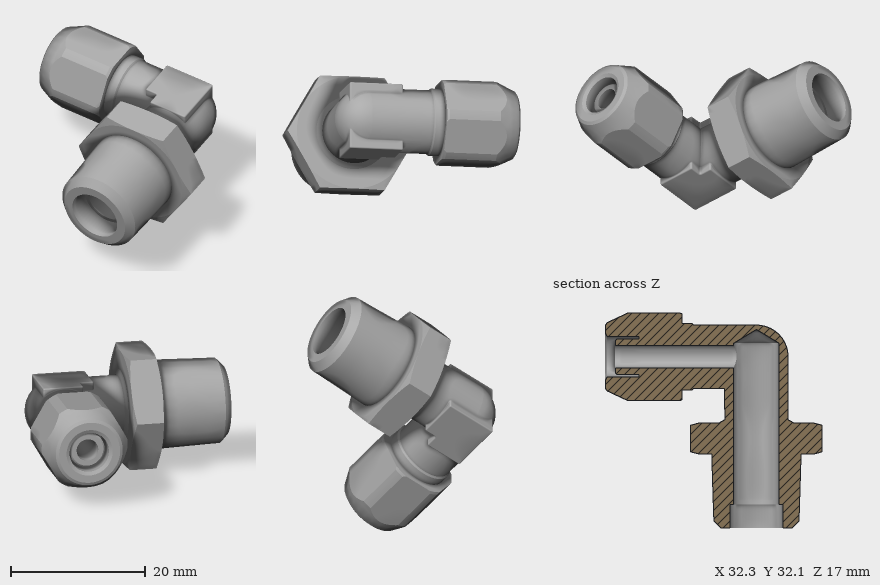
import cadquery as cq
import math


arm_radius = 4.75
block_half_height = 5.0
block_outer = 3.1
block_inner = 5.0
block_notch = 3.0
block_corner_round = 0.25
block_edge_round = 0.2
foot_round = 0.15
match_tolerance = 0.01

nut_tip = -22.5
nut_base = -11.0
nut_flats = 12.0
nut_radius = 6.55
nut_cone_length = 3.4
nut_cone_angle = 25.0
nut_tip_chamfer = 0.31
nut_base_chamfer_length = 0.4
nut_base_chamfer_depth = 0.15

collar_radius = 5.0
collar_end = -9.6

socket_radius = 3.0
socket_chamfer = 0.52
socket_chamfer_length = 0.3
socket_depth = 5.0
sleeve_radius = 2.65
sleeve_recess = 1.5
sleeve_chamfer = 0.23
tube_bore_radius = 1.65

flange_top = -9.8
flange_base = -14.5
flange_flats = 17.0
flange_chamfer_angle = 15.0
neck_length = 0.45
neck_radius = 5.55
thread_end = -25.5
thread_base_radius = 6.68
thread_taper = 1 / 32
thread_tip_length = 1.1
thread_tip_radius = 5.27

port_bore_radius = 3.35
port_bore_end = 2.0
port_counterbore_radius = 3.9
port_counterbore_depth = 3.5
drill_point_angle = 118.0


def revolve_about_x(points):
    """Revolve a closed outline of (axial position, radius) points about X."""
    return cq.Workplane("XY").polyline(points).close().revolve(360, (0, 0, 0), (1, 0, 0))


def revolve_about_y(points):
    """Revolve a closed outline of (axial position, radius) points about Y."""
    outline = [(radius, axial) for axial, radius in points]
    return cq.Workplane("XY").polyline(outline).close().revolve(360, (0, 0, 0), (0, 1, 0))


def across_corners(flats):
    return flats / math.cos(math.radians(30))


def make_arms():
    tube_arm = cq.Workplane("YZ").circle(arm_radius).extrude(nut_base)
    thread_arm = cq.Workplane("XZ").circle(arm_radius).extrude(-flange_top)
    bend = cq.Workplane("XY").sphere(arm_radius)
    return tube_arm.union(thread_arm).union(bend)


def make_block():
    """L-shaped wrench block on the bend, with every edge rounded."""
    outline = [
        (block_outer, block_outer),
        (-block_inner, block_outer),
        (-block_inner, -block_notch),
        (-block_notch, -block_notch),
        (-block_notch, -block_inner),
        (block_outer, -block_inner),
    ]
    block = cq.Workplane("XY").polyline(outline).close().extrude(block_half_height, both=True)
    block = block.edges("|Z").fillet(block_corner_round)
    return block.faces("|Z").edges().fillet(block_edge_round)


def make_nut():
    cone_drop = nut_cone_length * math.tan(math.radians(nut_cone_angle))
    turned = revolve_about_x([
        (nut_tip, 0),
        (nut_tip, nut_radius - cone_drop),
        (nut_tip + nut_cone_length, nut_radius),
        (nut_base - nut_base_chamfer_length, nut_radius),
        (nut_base, nut_radius - nut_base_chamfer_depth),
        (nut_base, 0),
    ])
    turned = turned.faces("<X").edges().chamfer(nut_tip_chamfer)
    prism = (
        cq.Workplane("YZ", origin=(nut_tip, 0, 0))
        .polygon(6, across_corners(nut_flats))
        .extrude(nut_base - nut_tip)
    )
    return turned.intersect(prism)


def make_collar():
    step = collar_radius - arm_radius
    return revolve_about_x([
        (nut_base, 0),
        (nut_base, collar_radius),
        (collar_end, collar_radius),
        (collar_end + step, arm_radius),
        (collar_end + step, 0),
    ])


def make_flange():
    """Hexagon with both ends chamfered down to the circle inscribed in its flats."""
    corner_radius = across_corners(flange_flats) / 2
    flat_radius = flange_flats / 2
    chamfer = (corner_radius - flat_radius) * math.tan(math.radians(flange_chamfer_angle))
    prism = (
        cq.Workplane("XZ", origin=(0, flange_top, 0))
        .polygon(6, 2 * corner_radius)
        .extrude(flange_top - flange_base)
    )
    envelope = revolve_about_y([
        (flange_top, 0),
        (flange_top, flat_radius),
        (flange_top - chamfer, corner_radius),
        (flange_base + chamfer, corner_radius),
        (flange_base, flat_radius),
        (flange_base, 0),
    ])
    return prism.intersect(envelope)


def make_neck():
    return revolve_about_y([
        (flange_top + neck_length, 0),
        (flange_top + neck_length, arm_radius),
        (flange_top, neck_radius),
        (flange_top, 0),
    ])


def make_thread():
    chamfer_start = thread_end + thread_tip_length
    chamfer_start_radius = thread_base_radius - thread_taper * (flange_base - chamfer_start)
    return revolve_about_y([
        (flange_base, 0),
        (flange_base, thread_base_radius),
        (chamfer_start, chamfer_start_radius),
        (thread_end, thread_tip_radius),
        (thread_end, 0),
    ])


def make_tube_socket():
    """Void around and through the recessed sleeve inside the nut."""
    sleeve_tip = nut_tip + sleeve_recess
    socket_floor = nut_tip + socket_depth
    return revolve_about_x([
        (nut_tip, 0),
        (nut_tip, socket_radius + socket_chamfer),
        (nut_tip + socket_chamfer_length, socket_radius),
        (socket_floor, socket_radius),
        (socket_floor, sleeve_radius),
        (sleeve_tip + sleeve_chamfer, sleeve_radius),
        (sleeve_tip, sleeve_radius - sleeve_chamfer),
        (sleeve_tip, tube_bore_radius),
        (0, tube_bore_radius),
        (0, 0),
    ])


def make_port_bore():
    """Counterbored blind hole with a drill point, open at the thread end."""
    point_length = port_bore_radius / math.tan(math.radians(drill_point_angle / 2))
    counterbore_floor = thread_end + port_counterbore_depth
    return revolve_about_y([
        (thread_end, 0),
        (thread_end, port_counterbore_radius),
        (counterbore_floor, port_counterbore_radius),
        (counterbore_floor, port_bore_radius),
        (port_bore_end, port_bore_radius),
        (port_bore_end + point_length, 0),
    ])


def lies_on_inner_side(edge):
    """True for an edge in either block side that stands square across an arm."""
    box = edge.BoundingBox()
    across_tube_arm = abs(box.xmax + block_inner) < match_tolerance
    across_thread_arm = abs(box.ymax + block_inner) < match_tolerance
    return across_tube_arm or across_thread_arm


def round_seams(body):
    """Blend the block into the arms, and the arms into each other inside the bend.

    The blend of the block follows its smooth outline all the way around from the
    arcs on its inner sides. The arms meet each other along an ellipse.
    """
    block_seams = body.edges("%CIRCLE").filter(lies_on_inner_side)
    arm_seam = body.edges("%ELLIPSE")
    return block_seams.add(arm_seam).fillet(foot_round)


elbow = make_arms().union(make_block())
elbow = round_seams(elbow)

solids = [make_nut(), make_collar(), make_flange(), make_neck(), make_thread()]
for solid in solids:
    elbow = elbow.union(solid)

result = elbow.cut(make_tube_socket()).cut(make_port_bore())